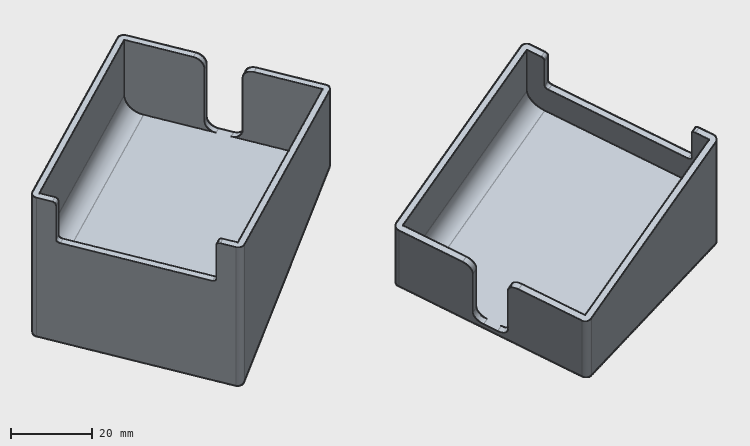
import cadquery as cq

width = 55.6
length = 63.6
front_height = 46.0
back_height = 25.0

wall = 1.8
corner_radius = 1.65

floor_thickness_at_back = 1.8
floor_z = front_height - back_height + floor_thickness_at_back
cavity_depth = front_height - floor_z
cavity_edge_radius = 5.0

front_notch_width = 42.0
front_notch_depth = 13.1
front_notch_radius = 1.0
back_slot_width = 10.0
back_slot_radius = 3.0


def wedge_body():
    """Solid block with a level rim and an underside rising towards the back."""
    side_profile = [
        (-length / 2, 0),
        (length / 2, front_height - back_height),
        (length / 2, front_height),
        (-length / 2, front_height),
    ]
    body = cq.Workplane("YZ").polyline(side_profile).close().extrude(width / 2, both=True)
    return body.edges("|Z").fillet(corner_radius)


def cavity():
    """Open-topped storage space inside the four walls."""
    space = cq.Workplane("XY").workplane(offset=floor_z).rect(width - 2 * wall, length - 2 * wall)
    return space.extrude(cavity_depth).edges("|Y and <Z").fillet(cavity_edge_radius)


def wall_opening(opening_width, depth, radius, start_y):
    """Cutter for a wall: rounded at the bottom corners and flared at the rim."""
    half = opening_width / 2
    top = front_height
    bottom = top - depth
    return (
        cq.Workplane("XZ", origin=(0, start_y + wall, 0))
        .moveTo(-half - radius, top)
        .radiusArc((-half, top - radius), radius)
        .lineTo(-half, bottom + radius)
        .radiusArc((-half + radius, bottom), -radius)
        .lineTo(half - radius, bottom)
        .radiusArc((half, bottom + radius), -radius)
        .lineTo(half, top - radius)
        .radiusArc((half + radius, top), radius)
        .close()
        .extrude(wall)
    )


front_notch = wall_opening(front_notch_width, front_notch_depth, front_notch_radius, -length / 2)
back_slot = wall_opening(back_slot_width, cavity_depth, back_slot_radius, length / 2 - wall)

result = wedge_body().cut(cavity()).cut(front_notch).cut(back_slot)